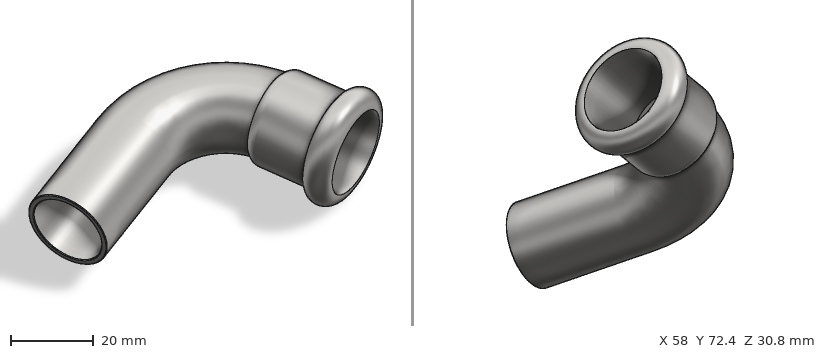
import cadquery as cq
import math

overall_length_x = 58.0
overall_length_y = 72.4

tube_diameter = 22.0
tube_bore = 19.0
bend_radius = 25.9
spigot_edge_chamfer = 0.2

socket_diameter = 25.3
socket_bore = 22.3
shoulder_radius = 3.25

bead_diameter = 30.8
bead_width = 7.4

tube_radius = tube_diameter / 2
socket_radius = socket_diameter / 2
bead_radius = bead_diameter / 2
spigot_length = overall_length_y - bend_radius - bead_radius
socket_length = overall_length_x - tube_radius - bend_radius

bend_end = (bend_radius, bend_radius, 0)


def bent_rod(diameter):
    """Solid rod along the spigot and round the bend, ending facing +X."""
    spigot = cq.Workplane("XZ").circle(diameter / 2).extrude(spigot_length)
    bend = (
        cq.Workplane("XZ")
        .circle(diameter / 2)
        .revolve(90, (bend_radius, 0, 0), (bend_radius, -1, 0))
    )
    return spigot.union(bend)


def socket_body():
    """Solid of revolution along +X: rounded shoulder, cylinder and bead."""
    center_radius = socket_radius - shoulder_radius
    start_angle = math.acos((tube_radius - center_radius) / shoulder_radius)

    def shoulder_point(angle):
        return (
            -shoulder_radius * math.sin(angle),
            center_radius + shoulder_radius * math.cos(angle),
        )

    shoulder_start = shoulder_point(start_angle)

    round_radius = bead_width / 2
    round_center_x = socket_length - round_radius
    round_center_radius = bead_radius - round_radius
    height_on_round = socket_radius - round_center_radius
    bead_start = round_center_x - math.sqrt(round_radius**2 - height_on_round**2)
    bead_top = (round_center_x, bead_radius)
    bead_end = (socket_length, round_center_radius)

    profile = (
        cq.Workplane("XY")
        .moveTo(shoulder_start[0], 0)
        .lineTo(*shoulder_start)
        .threePointArc(shoulder_point(start_angle / 2), (0, socket_radius))
        .lineTo(bead_start, socket_radius)
        .threePointArc(bead_top, bead_end)
        .lineTo(socket_length, 0)
        .close()
    )
    return profile.revolve(360, (0, 0, 0), (1, 0, 0)).translate(bend_end)


def socket_cavity():
    """Plain bore from the mouth to the end of the bend."""
    return (
        cq.Workplane("YZ", origin=bend_end)
        .circle(socket_bore / 2)
        .extrude(socket_length)
    )


elbow = (
    bent_rod(tube_diameter)
    .union(socket_body())
    .cut(bent_rod(tube_bore))
    .cut(socket_cavity())
)

result = elbow.faces("<Y").edges().chamfer(spigot_edge_chamfer)